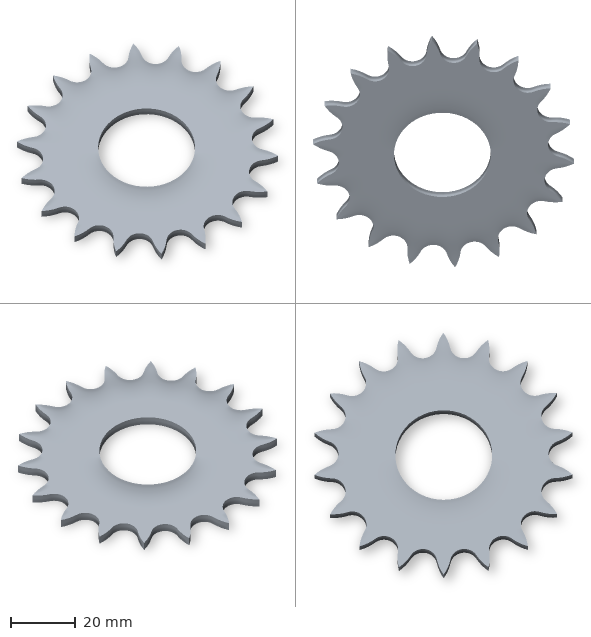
import cadquery as cq
import math

tooth_count = 18
tip_radius = 40.5
pitch_radius = 36.9
seat_radius = 4.4
flank_radius = 14.6
thickness = 3.0
bore_radius = 15.0
bore_offset_x = -0.5

tooth_angle = 2 * math.pi / tooth_count
first_tip_angle = math.pi / 2


def polar(radius, angle):
    """Point at a radius and angle around the wheel centre."""
    return (radius * math.cos(angle), radius * math.sin(angle))


def flank_points():
    """Seat-to-flank tangent point and flank midpoint, each as (radius, angle from tooth centreline).

    The wheel centre is the origin, the tooth points along +X and the seat lies on the +Y side.
    The flank centre is flank_radius from the tip and flank_radius + seat_radius from the seat centre.
    """
    seat_x, seat_y = polar(pitch_radius, tooth_angle / 2)
    span = math.hypot(tip_radius - seat_x, seat_y)
    along_x = (tip_radius - seat_x) / span
    along_y = -seat_y / span
    centre_distance = flank_radius + seat_radius
    along = (centre_distance**2 - flank_radius**2 + span**2) / (2 * span)
    across = math.sqrt(centre_distance**2 - along**2)
    flank_x = seat_x + along * along_x + across * along_y
    flank_y = seat_y + along * along_y - across * along_x

    share = seat_radius / centre_distance
    join_x = seat_x + share * (flank_x - seat_x)
    join_y = seat_y + share * (flank_y - seat_y)

    middle_angle = math.atan2(join_y / 2 - flank_y, (join_x + tip_radius) / 2 - flank_x)
    middle_x = flank_x + flank_radius * math.cos(middle_angle)
    middle_y = flank_y + flank_radius * math.sin(middle_angle)

    join = (math.hypot(join_x, join_y), math.atan2(join_y, join_x))
    middle = (math.hypot(middle_x, middle_y), math.atan2(middle_y, middle_x))
    return join, middle


def wheel_outline():
    """Closed toothed outline: flank, seat and flank from each tip to the next."""
    (join_radius, join_angle), (middle_radius, middle_angle) = flank_points()
    root_radius = pitch_radius - seat_radius
    outline = cq.Workplane("XY").moveTo(*polar(tip_radius, first_tip_angle))
    for tooth in range(tooth_count):
        tip = first_tip_angle + tooth * tooth_angle
        next_tip = tip + tooth_angle
        outline = (
            outline
            .threePointArc(polar(middle_radius, tip + middle_angle), polar(join_radius, tip + join_angle))
            .threePointArc(polar(root_radius, tip + tooth_angle / 2), polar(join_radius, next_tip - join_angle))
            .threePointArc(polar(middle_radius, next_tip - middle_angle), polar(tip_radius, next_tip))
        )
    return outline.close()


wheel = wheel_outline().extrude(thickness)
bore = cq.Workplane("XY").center(bore_offset_x, 0).circle(bore_radius).extrude(thickness)
result = wheel.cut(bore)